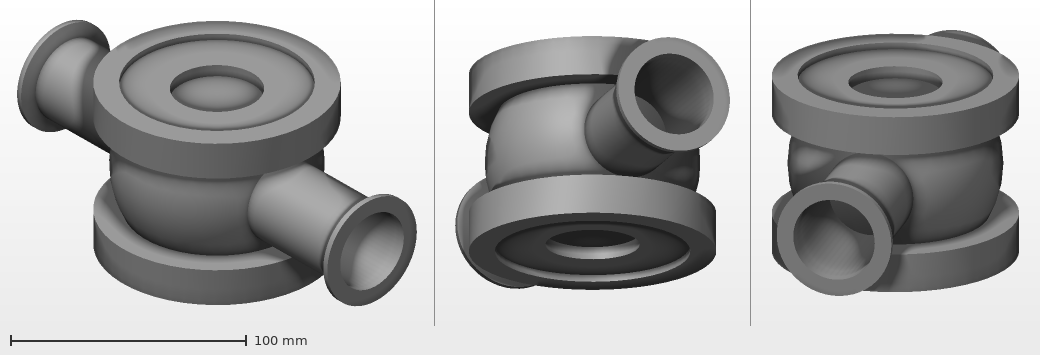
import cadquery as cq

total_length = 200.0
total_height = 78.8
ball_diameter = 91.5

flange_diameter = 105.0
flange_thickness = 17.0
recess_diameter = 83.0
recess_depth = 3.0
socket_diameter = 40.0
socket_depth = 5.5

pipe_diameter = 38.2
bore_diameter = 35.8
ferrule_diameter = 50.5
ferrule_rim_thickness = 2.5
ferrule_length = 5.0
pipe_start = 30.0

half_length = total_length / 2
half_height = total_height / 2


def make_flange():
    """Upper flange with a shallow recess and a deeper central socket."""
    recess_floor = half_height - recess_depth
    socket_floor = recess_floor - socket_depth
    disc = (
        cq.Workplane("XY")
        .workplane(offset=half_height - flange_thickness)
        .circle(flange_diameter / 2)
        .extrude(flange_thickness)
    )
    recess = (
        cq.Workplane("XY")
        .workplane(offset=recess_floor)
        .circle(recess_diameter / 2)
        .extrude(recess_depth)
    )
    socket = (
        cq.Workplane("XY")
        .workplane(offset=socket_floor)
        .circle(socket_diameter / 2)
        .extrude(socket_depth)
    )
    return disc.cut(recess).cut(socket)


def make_pipe():
    """Pipe along +X with a tapered ferrule, starting inside the ball."""
    rim_start = half_length - ferrule_rim_thickness
    taper_start = half_length - ferrule_length
    return (
        cq.Workplane("XY")
        .moveTo(pipe_start, bore_diameter / 2)
        .lineTo(half_length, bore_diameter / 2)
        .lineTo(half_length, ferrule_diameter / 2)
        .lineTo(rim_start, ferrule_diameter / 2)
        .lineTo(taper_start, pipe_diameter / 2)
        .lineTo(pipe_start, pipe_diameter / 2)
        .close()
        .revolve(360, (0, 0, 0), (1, 0, 0))
    )


body_height = total_height - 2 * flange_thickness
body_envelope = cq.Workplane("XY").box(flange_diameter, flange_diameter, body_height)
ball = cq.Workplane("XY").sphere(ball_diameter / 2).intersect(body_envelope)

flange = make_flange()
pipe = make_pipe()
result = ball.union(flange).union(flange.mirror("XY"))
result = result.union(pipe).union(pipe.mirror("YZ"))